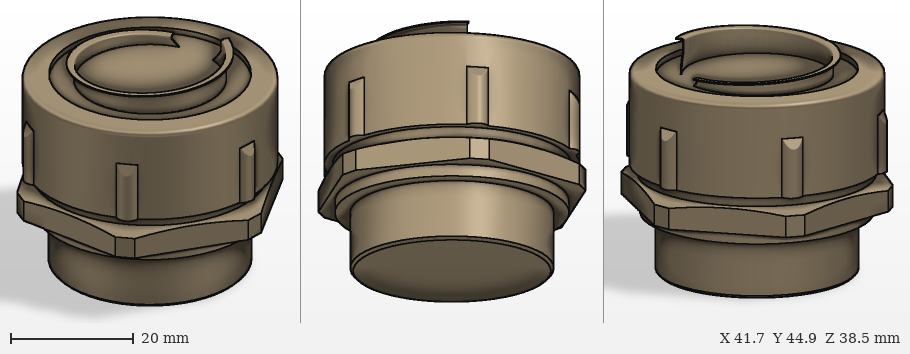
import cadquery as cq
import math

flange_bottom = 10.0
hex_bottom = 12.0
hex_top = 16.5
cap_bottom = 18.3
cap_top = 34.35
coil_top = 38.5

spigot_diameter = 33.2
spigot_chamfer = 0.5
flange_diameter = 38.2
neck_diameter = 39.0
cap_diameter = 41.7
cap_fillet = 1.0
recess_diameter = 33.0
recess_depth = 1.0
floor_level = cap_top - recess_depth

hex_sides = 6
hex_across_flats = 40.5
hex_across_corners = 44.9
hex_cone_drop = 0.95

rib_count = 6
rib_radius = 2.05
rib_tip_distance = 21.8
rib_top = 28.27
rib_shoulder = 26.52
rib_fillet = 0.22

coil_pitch = 4.0
sheet_thickness = 0.2
coil_wall_radius = 12.48
coil_lip_radius = 13.65
bend_radius = 0.45
coil_embed = 0.45

gap_start_angle = 90.0
gap_end_angle = 144.0
gap_floor_start_angle = 104.0
gap_floor_end_angle = 138.0


def disc(diameter, bottom, top):
    return cq.Workplane("XY").workplane(offset=bottom).circle(diameter / 2).extrude(top - bottom)


def make_round_body():
    spigot = disc(spigot_diameter, 0, flange_bottom).faces("<Z").chamfer(spigot_chamfer)
    flange = disc(flange_diameter, flange_bottom, hex_bottom)
    neck = disc(neck_diameter, hex_bottom, cap_bottom)
    cap = disc(cap_diameter, cap_bottom, cap_top).faces(">Z").edges().fillet(cap_fillet)
    recess = disc(recess_diameter, floor_level, cap_top)
    return spigot.union(flange).union(neck).union(cap).cut(recess)


def hex_prism(across_flats, height):
    circumscribed_diameter = across_flats / math.cos(math.pi / hex_sides)
    base = cq.Workplane("XY").workplane(offset=hex_bottom)
    return base.polygon(hex_sides, circumscribed_diameter).extrude(height)


def make_hexagon():
    height = hex_top - hex_bottom
    main = hex_prism(hex_across_flats, height).rotate((0, 0, 0), (0, 0, 1), 180 / hex_sides)
    corner_trim = hex_prism(hex_across_corners, height)
    neck_radius = neck_diameter / 2
    rim_radius = hex_across_flats / 2 / math.cos(math.pi / hex_sides)
    cone_slope = hex_cone_drop / (hex_across_corners / 2 - neck_radius)
    cone_rim = hex_top - cone_slope * (rim_radius - neck_radius)
    cone = (
        cq.Workplane("XZ")
        .moveTo(0, hex_bottom)
        .lineTo(rim_radius, hex_bottom)
        .lineTo(rim_radius, cone_rim)
        .lineTo(neck_radius, hex_top)
        .lineTo(0, hex_top)
        .close()
        .revolve(360, (0, 0, 0), (0, 1, 0))
    )
    return main.intersect(corner_trim).intersect(cone)


def make_rib():
    """One rounded rib at +X whose upper end slopes back into the cap."""
    rib_center = rib_tip_distance - rib_radius
    slope = (rib_top - rib_shoulder) / (rib_tip_distance - cap_diameter / 2)
    inner = rib_center - rib_radius
    slope_at_inner = rib_shoulder + slope * (rib_tip_distance - inner)
    side = (
        cq.Workplane("XZ", origin=(0, rib_radius, 0))
        .moveTo(inner, cap_bottom)
        .lineTo(rib_tip_distance, cap_bottom)
        .lineTo(rib_tip_distance, rib_shoulder)
        .lineTo(inner, slope_at_inner)
        .close()
        .extrude(2 * rib_radius)
    )
    rod = disc(2 * rib_radius, cap_bottom, slope_at_inner).translate((rib_center, 0, 0))
    rib = rod.intersect(side).faces(">Z").edges().fillet(rib_fillet)
    return rib.intersect(disc(2 * rib_tip_distance, cap_bottom, rib_top))


def make_coil():
    """Rolled sheet with an outward lip, rising counter-clockwise by less than one turn."""
    sweep_start = gap_floor_end_angle
    sweep_angle = 360 + gap_floor_start_angle - gap_floor_end_angle
    rise_to_gap = coil_pitch * (360 + gap_start_angle - sweep_start) / 360
    lip_top = coil_top - rise_to_gap
    wall_bottom = floor_level - coil_embed - rise_to_gap
    wall_inner_radius = coil_wall_radius - sheet_thickness
    bend_center = (wall_inner_radius + bend_radius, lip_top - bend_radius)
    lip_bottom = lip_top - sheet_thickness
    inner_bend = bend_radius - sheet_thickness
    cos45 = math.sqrt(0.5)

    def bend_middle(radius):
        return (bend_center[0] - radius * cos45, bend_center[1] + radius * cos45)

    section = (
        cq.Workplane("XZ")
        .moveTo(wall_inner_radius, wall_bottom)
        .lineTo(wall_inner_radius, bend_center[1])
        .threePointArc(bend_middle(bend_radius), (bend_center[0], lip_top))
        .lineTo(coil_lip_radius, lip_top)
        .lineTo(coil_lip_radius, lip_bottom)
        .lineTo(bend_center[0], lip_bottom)
        .threePointArc(bend_middle(inner_bend), (coil_wall_radius, bend_center[1]))
        .lineTo(coil_wall_radius, wall_bottom)
        .close()
    )
    helix = cq.Wire.makeHelix(coil_pitch, coil_pitch * sweep_angle / 360, coil_wall_radius)
    coil = section.sweep(cq.Workplane(obj=helix), isFrenet=True)
    return coil.rotate((0, 0, 0), (0, 0, 1), sweep_start)


def make_coil_gap():
    """Radial wedge that narrows at about 45 degrees towards the recess floor."""
    middle = (gap_floor_start_angle + gap_floor_end_angle) / 2
    top = coil_top + coil_pitch
    start_bevel = floor_level + coil_wall_radius * math.radians(gap_floor_start_angle - gap_start_angle)
    end_bevel = floor_level + coil_wall_radius * math.radians(gap_end_angle - gap_floor_end_angle)
    corners = [
        (gap_floor_start_angle, floor_level),
        (gap_floor_end_angle, floor_level),
        (gap_end_angle, end_bevel),
        (gap_end_angle, top),
        (gap_start_angle, top),
        (gap_start_angle, start_bevel),
    ]

    def section(distance):
        points = []
        for angle, level in corners:
            sideways = distance * math.tan(math.radians(angle - middle))
            points.append(cq.Vector(distance, sideways, level))
        return cq.Wire.makePolygon(points, close=True)

    near = coil_wall_radius / 2
    far = 2 * coil_wall_radius
    wedge = cq.Solid.makeLoft([section(near), section(far)], True)
    return cq.Workplane(obj=wedge).rotate((0, 0, 0), (0, 0, 1), middle)


result = make_round_body().union(make_hexagon())
rib = make_rib()
for index in range(rib_count):
    rib_angle = 90 + index * 360 / rib_count
    result = result.union(rib.rotate((0, 0, 0), (0, 0, 1), rib_angle))
result = result.union(make_coil().cut(make_coil_gap()))